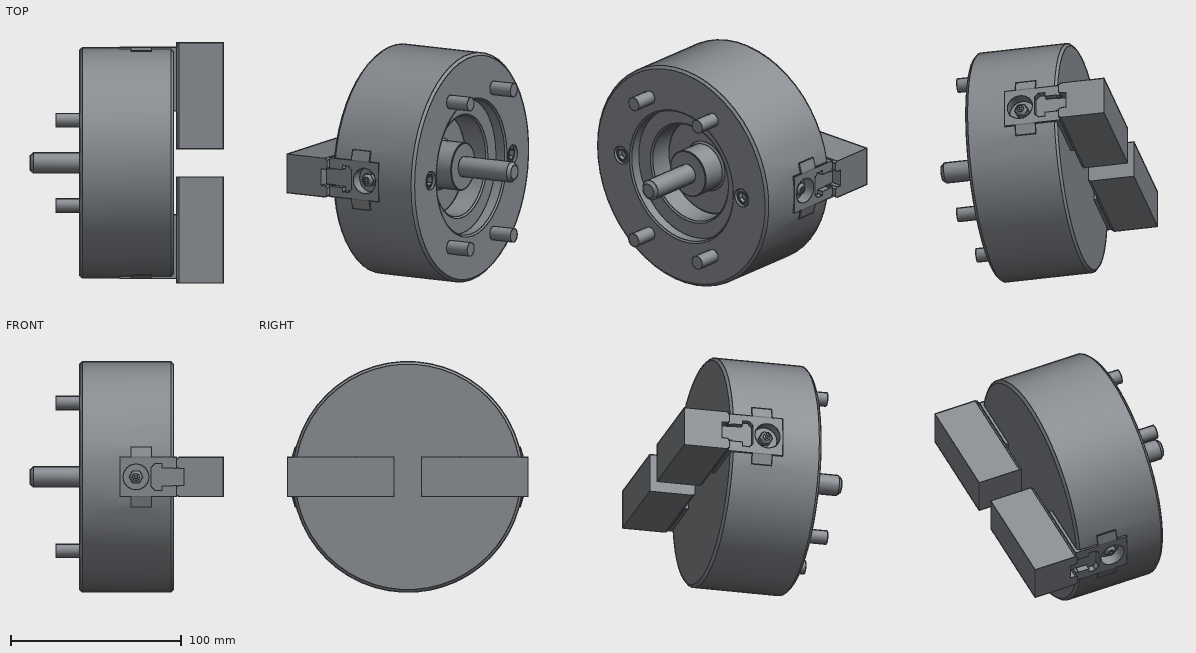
import cadquery as cq
import math

body_diameter = 135.0
body_length = 54.9
body_chamfer = 1.5

recess_diameter = 80.0
recess_depth = 7.0
bore_diameter = 59.5
bore_floor = 21.1
edge_chamfer = 1.0

hub_diameter = 28.0
hub_front = 5.6
hub_chamfer = 0.4
hub_collar_diameter = 30.5
hub_collar_length = 1.0
shaft_diameter = 12.0
shaft_tip = -29.0
shaft_tip_diameter = 8.5
shaft_tip_length = 2.0

pin_diameter = 8.0
pin_reach = 14.0
pin_circle_radius = 50.0
pin_angles = (60, 120, 240, 300)

screw_offset = 47.5
screw_bore_diameter = 11.0
screw_bore_depth = 5.6
screw_head_diameter = 10.0
screw_head_front = 0.8
screw_head_cone_diameter = 7.3
screw_head_cone_length = 0.7
socket_corner_diameter = 6.5
socket_depth = 2.8

bracket_outer = 67.7
bracket_inner = 56.3
bracket_foot_inner = 30.3
bracket_front = 23.7
bracket_half_height = 11.5
block_front = 56.7
block_rear = 84.0
block_outer = 70.4
block_inner = 8.2
block_chamfer_length = 1.4
block_chamfer_height = 1.0

tab_front = 30.0
tab_rear = 42.1
tab_thickness = 1.0
tab_half_height = 17.6
tab_drop = 1.8

pocket_floor = 63.9
pocket_front = 41.8
pocket_head_rear = 48.0
pocket_rear = 61.1
pocket_head_half = 7.9
pocket_head_chamfer = 2.3
pocket_neck_half = 5.4
pocket_slot_half = 4.9

well_center = 33.0
well_diameter = 15.0
well_floor = 60.5
nipple_corner_diameter = 8.0
nipple_top = 65.9
nipple_cone_length = 2.1
nipple_cone_diameter = 4.0
nipple_ball_diameter = 1.8


def x_cylinder(diameter, x_start, x_end, y=0, z=0):
    plane = cq.Workplane("YZ", origin=(x_start, y, z))
    return plane.circle(diameter / 2).extrude(x_end - x_start)


def y_workplane(y, x=0):
    """Workplane at a given y that extrudes toward +Y.

    Its vertical axis points along -Z, so it is used only for outlines symmetric about z = 0.
    """
    return cq.Workplane(cq.Plane((x, y, 0), xDir=(1, 0, 0), normal=(0, 1, 0)))


def box_between(x_range, y_range, z_range):
    ranges = (x_range, y_range, z_range)
    sizes = [high - low for low, high in ranges]
    corner = tuple(low for low, _ in ranges)
    return cq.Workplane("XY").box(*sizes, centered=False).translate(corner)


def revolve_about_x(profile):
    """Turn a closed profile of (x, radius) points about the X axis."""
    return cq.Workplane("XY").polyline(profile).close().revolve(360, (0, 0, 0), (1, 0, 0))


def make_turned_body():
    body_r = body_diameter / 2
    recess_r = recess_diameter / 2
    bore_r = bore_diameter / 2
    hub_r = hub_diameter / 2
    profile = [
        (bore_floor, 0),
        (hub_front, 0),
        (hub_front, hub_r - hub_chamfer),
        (hub_front + hub_chamfer, hub_r),
        (bore_floor - hub_collar_length, hub_r),
        (bore_floor, hub_collar_diameter / 2),
        (bore_floor, bore_r - edge_chamfer),
        (bore_floor + edge_chamfer, bore_r),
        (recess_depth + edge_chamfer, bore_r),
        (recess_depth, bore_r + edge_chamfer),
        (recess_depth, recess_r),
        (edge_chamfer, recess_r),
        (0, recess_r + edge_chamfer),
        (0, body_r - body_chamfer),
        (body_chamfer, body_r),
        (body_length - body_chamfer, body_r),
        (body_length, body_r - body_chamfer),
        (body_length, 0),
    ]
    return revolve_about_x(profile)


def make_shaft():
    shaft_r = shaft_diameter / 2
    profile = [
        (hub_front + hub_chamfer, 0),
        (shaft_tip, 0),
        (shaft_tip, shaft_tip_diameter / 2),
        (shaft_tip + shaft_tip_length, shaft_r),
        (hub_front + hub_chamfer, shaft_r),
    ]
    return revolve_about_x(profile)


def make_pin(angle):
    y = pin_circle_radius * math.cos(math.radians(angle))
    z = pin_circle_radius * math.sin(math.radians(angle))
    return x_cylinder(pin_diameter, -pin_reach, recess_depth, y, z)


def make_screw_head(y):
    head_r = screw_head_diameter / 2
    profile = [
        (screw_head_front, 0),
        (screw_head_front, screw_head_cone_diameter / 2),
        (screw_head_front + screw_head_cone_length, head_r),
        (screw_bore_depth, head_r),
        (screw_bore_depth, 0),
    ]
    head = revolve_about_x(profile).translate((0, y, 0))
    socket = (
        cq.Workplane("YZ", origin=(screw_head_front, y, 0))
        .transformed(rotate=(0, 0, 90))
        .polygon(6, socket_corner_diameter)
        .extrude(socket_depth)
    )
    return head.cut(socket)


def make_block():
    chamfer_start = bracket_half_height - block_chamfer_height
    chamfer_end = block_front + block_chamfer_length
    outline = [
        (block_front, -chamfer_start),
        (chamfer_end, -bracket_half_height),
        (block_rear, -bracket_half_height),
        (block_rear, bracket_half_height),
        (chamfer_end, bracket_half_height),
        (block_front, chamfer_start),
    ]
    return y_workplane(block_inner).polyline(outline).close().extrude(block_outer - block_inner)


def make_tab(side):
    """Sheet tab bent back toward the body; side is +1 for the upper, -1 for the lower."""
    outer_tip = bracket_outer - tab_drop
    outline = [
        (bracket_outer, side * bracket_half_height),
        (outer_tip, side * tab_half_height),
        (outer_tip - tab_thickness, side * tab_half_height),
        (bracket_outer - tab_thickness, side * bracket_half_height),
    ]
    plane = cq.Workplane("YZ", origin=(tab_front, 0, 0))
    return plane.polyline(outline).close().extrude(tab_rear - tab_front)


def make_pocket():
    """T-shaped cutter; its slot flares where it enters the chamfered block face."""
    upper = [
        (pocket_front, pocket_head_half - pocket_head_chamfer),
        (pocket_front + pocket_head_chamfer, pocket_head_half),
        (pocket_head_rear, pocket_head_half),
        (pocket_head_rear, pocket_neck_half),
        (body_length, pocket_neck_half),
        (body_length, pocket_slot_half),
        (pocket_rear, pocket_slot_half),
    ]
    lower = [(x, -z) for x, z in reversed(upper)]
    depth = block_outer - pocket_floor
    pocket = y_workplane(pocket_floor).polyline(upper + lower).close().extrude(depth)
    flare_half = pocket_slot_half + block_chamfer_height
    flare = [
        (block_front, flare_half),
        (block_front + block_chamfer_length, pocket_slot_half),
        (block_front + block_chamfer_length, -pocket_slot_half),
        (block_front, -flare_half),
    ]
    return pocket.union(y_workplane(pocket_floor).polyline(flare).close().extrude(depth))


def make_nipple():
    height = nipple_top - well_floor
    hexagon = y_workplane(well_floor, well_center).polygon(6, nipple_corner_diameter).extrude(height)
    corner_r = nipple_corner_diameter / 2
    cone_profile = [
        (0, 0),
        (corner_r, 0),
        (corner_r, height - nipple_cone_length),
        (nipple_cone_diameter / 2, height),
        (0, height),
    ]
    cone = (
        cq.Workplane("XY", origin=(well_center, well_floor, 0))
        .polyline(cone_profile)
        .close()
        .revolve(360, (0, 0, 0), (0, 1, 0))
    )
    ball = cq.Workplane("XY").sphere(nipple_ball_diameter / 2).translate((well_center, nipple_top, 0))
    return hexagon.intersect(cone).union(ball)


def make_side_unit():
    """Bracket with its foot behind the body, its tabs and its block, on the +Y side."""
    heights = (-bracket_half_height, bracket_half_height)
    plate = box_between((bracket_front, block_front), (bracket_inner, bracket_outer), heights)
    foot = box_between((body_length, block_front), (bracket_foot_inner, bracket_outer), heights)
    unit = plate.union(foot).union(make_block())
    return unit.union(make_tab(1)).union(make_tab(-1))


def make_side_cuts():
    """Nipple well and T-shaped pocket of the +Y side."""
    well = (
        y_workplane(well_floor, well_center)
        .circle(well_diameter / 2)
        .extrude(block_outer - well_floor)
    )
    return well.union(make_pocket())


body = make_turned_body().union(make_shaft())
for pin_angle in pin_angles:
    body = body.union(make_pin(pin_angle))

for screw_y in (-screw_offset, screw_offset):
    body = body.cut(x_cylinder(screw_bore_diameter, 0, screw_bore_depth, screw_y))
    body = body.union(make_screw_head(screw_y))

side_unit = make_side_unit()
side_cuts = make_side_cuts()
nipple = make_nipple()
body = body.union(side_unit).union(side_unit.mirror("XZ"))
body = body.cut(side_cuts).cut(side_cuts.mirror("XZ"))
body = body.union(nipple).union(nipple.mirror("XZ"))

result = body